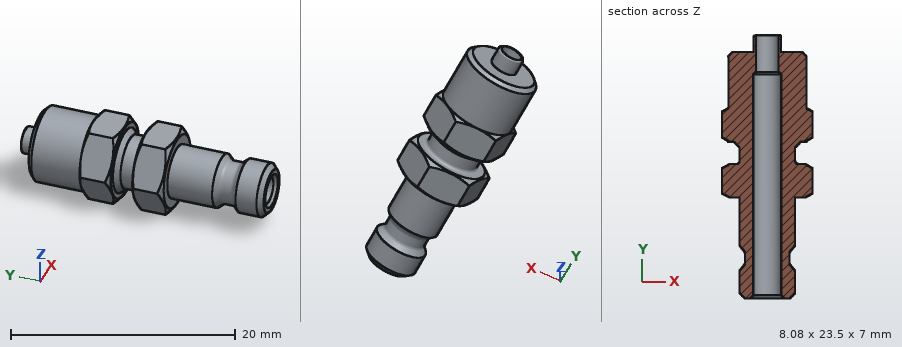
import cadquery as cq
import math

length = 23.5

plug_radius = 2.5
plug_chamfer = 0.5
groove_radius = 2.0
groove_start = 2.5
groove_end = 4.72
groove_cone_length = 0.56
groove_fillet = 0.3

hex_across_flats = 7.0
hex_width = 3.0
front_hex_start = 9.0
rear_hex_start = 13.98
hex_face_radius = 3.38
hex_chamfer_angle = 30.0

neck_fillet = 0.3
rear_neck_radius = 3.0

body_radius = hex_across_flats / 2
body_end = 22.0
body_chamfer = 0.4
stub_radius = 1.25
stub_tip_fillet = 0.19

mouth_radius = 1.55
bore_radius = 1.25
bore_depth = 19.98
through_radius = 0.999

selection_margin = 0.02

hex_corner_radius = hex_across_flats / math.sqrt(3)
front_hex_end = front_hex_start + hex_width


def turned(points):
    """Spin a closed outline of (radius, Y) points about the Y axis."""
    outline = cq.Workplane("XY").polyline(points).close()
    return outline.revolve(360, (0, 0, 0), (0, 1, 0))


def edges_at(y, radius):
    """Select the circular edges at one Y that are no larger than the radius."""
    reach = radius + selection_margin
    low_corner = (-reach, y - selection_margin, -reach)
    high_corner = (reach, y + selection_margin, reach)
    return cq.selectors.BoxSelector(low_corner, high_corner, boundingbox=True)


def make_turned_body():
    rear_flare = rear_neck_radius - plug_radius
    groove_floor_start = groove_start + groove_cone_length
    groove_floor_end = groove_end - groove_cone_length
    body = turned([
        (0, 0),
        (plug_radius - plug_chamfer, 0),
        (plug_radius, plug_chamfer),
        (plug_radius, groove_start),
        (groove_radius, groove_floor_start),
        (groove_radius, groove_floor_end),
        (plug_radius, groove_end),
        (plug_radius, front_hex_start),
        (hex_face_radius, front_hex_start),
        (hex_face_radius, front_hex_end),
        (plug_radius, front_hex_end),
        (plug_radius, rear_hex_start - rear_flare),
        (rear_neck_radius, rear_hex_start),
        (body_radius, rear_hex_start),
        (body_radius, body_end - body_chamfer),
        (body_radius - body_chamfer, body_end),
        (stub_radius, body_end),
        (stub_radius, length),
        (0, length),
    ])
    for y in (groove_floor_start, groove_floor_end):
        body = body.edges(edges_at(y, groove_radius)).fillet(groove_fillet)
    body = body.edges(edges_at(front_hex_end, plug_radius)).fillet(neck_fillet)
    return body.edges(edges_at(length, stub_radius)).fillet(stub_tip_fillet)


def make_hexagon(start, rear_face_radius):
    """Hexagon with flats facing +Z and -Z and both ends turned to a cone."""
    end = start + hex_width
    slope = math.tan(math.radians(hex_chamfer_angle))
    front_drop = (hex_corner_radius - hex_face_radius) * slope
    rear_drop = (hex_corner_radius - rear_face_radius) * slope
    prism = (
        cq.Workplane("XZ", origin=(0, end, 0))
        .polygon(6, 2 * hex_corner_radius)
        .extrude(hex_width)
    )
    envelope = turned([
        (0, start),
        (hex_face_radius, start),
        (hex_corner_radius, start + front_drop),
        (hex_corner_radius, end - rear_drop),
        (rear_face_radius, end),
        (0, end),
    ])
    return prism.intersect(envelope)


def make_bore():
    mouth_depth = mouth_radius - bore_radius
    cone_length = bore_radius - through_radius
    return turned([
        (0, 0),
        (mouth_radius, 0),
        (bore_radius, mouth_depth),
        (bore_radius, bore_depth),
        (through_radius, bore_depth + cone_length),
        (through_radius, length),
        (0, length),
    ])


front_hex = make_hexagon(front_hex_start, hex_face_radius)
rear_hex = make_hexagon(rear_hex_start, body_radius)
result = make_turned_body().union(front_hex).union(rear_hex).cut(make_bore())